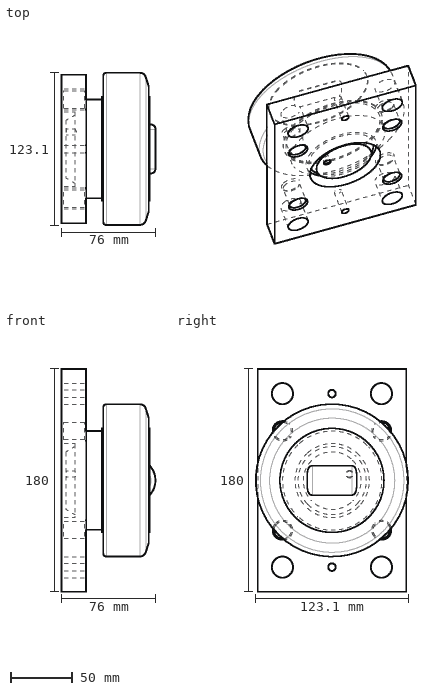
import cadquery as cq
import math


plate_height = 180.0
plate_width = 120.0
plate_thickness = 20.0

hole_offset_y = 40.0
outer_hole_offset_z = 70.0
clearance_diameter = 17.0
dowel_diameter = 6.0
tapped_offset_z = hole_offset_y
tapped_diameter = 13.9
tapped_mouth_diameter = 16.0
tapped_mouth_depth = 1.6

recess_diameter = 60.0
recess_depth = 10.6
pin_diameter = 55.0
pin_end_diameter = 46.6
pin_setback = 3.5

grease_mouth_diameter = 6.0
grease_diameter = 4.9
grease_depth = 7.2
grease_offset_y = 14.0
grease_offset_z = 5.2
grease_tip_angle = 118.0

neck_diameter = 80.1
ring_diameter = 84.0
ring_back = 32.5
ring_front = 71.3
wheel_diameter = 123.1
wheel_back = 33.7
wheel_front = 70.5
back_round = 2.5
front_round = 5.2
front_round_start = 63.2
front_cone_angle = 72.0

side_roller_front = 76.0
side_roller_radius = 17.5
side_roller_length = 39.8
side_roller_round = 4.0


def x_cylinder(diameter, start, end, y=0.0, z=0.0):
    """Cylinder along X between two X positions."""
    return (
        cq.Workplane("YZ", origin=(start, y, z))
        .circle(diameter / 2)
        .extrude(end - start)
    )


def make_cone(start_diameter, end_diameter, length, start, y=0.0, z=0.0):
    """Cone along +X from one diameter to another, starting at an X position."""
    return cq.Workplane(
        cq.Solid.makeCone(
            start_diameter / 2,
            end_diameter / 2,
            length,
            pnt=cq.Vector(start, y, z),
            dir=cq.Vector(1, 0, 0),
        )
    )


def make_plate():
    """Plate with clearance, dowel and tapped holes and the round welding recess."""
    plate = cq.Workplane("XY").box(
        plate_thickness, plate_width, plate_height, centered=(False, True, True)
    )
    for side_z in (-1, 1):
        outer_z = side_z * outer_hole_offset_z
        plate = plate.cut(x_cylinder(dowel_diameter, 0, plate_thickness, 0, outer_z))
        for side_y in (-1, 1):
            y = side_y * hole_offset_y
            plate = plate.cut(x_cylinder(clearance_diameter, 0, plate_thickness, y, outer_z))
            plate = plate.cut(make_tapped_hole(y, side_z * tapped_offset_z))
    return plate.cut(x_cylinder(recess_diameter, 0, recess_depth))


def make_tapped_hole(y, z):
    """Cutter for a through hole countersunk at both faces of the plate."""
    neck_side_start = plate_thickness - tapped_mouth_depth
    waist = x_cylinder(tapped_diameter, 0, plate_thickness, y, z)
    outer_mouth = make_cone(tapped_mouth_diameter, tapped_diameter, tapped_mouth_depth, 0, y, z)
    neck_side_mouth = make_cone(
        tapped_diameter, tapped_mouth_diameter, tapped_mouth_depth, neck_side_start, y, z
    )
    return waist.union(outer_mouth).union(neck_side_mouth)


def make_pin():
    """Tapered pin end standing on the floor of the welding recess."""
    return make_cone(pin_end_diameter, pin_diameter, recess_depth - pin_setback, pin_setback)


def make_grease_hole():
    """Cutter for a blind hole with a 45 degree countersink and a drill tip."""
    centre = (grease_offset_y, grease_offset_z)
    countersink_depth = (grease_mouth_diameter - grease_diameter) / 2
    tip_depth = grease_diameter / 2 / math.tan(math.radians(grease_tip_angle / 2))
    bottom = pin_setback + grease_depth
    bore = x_cylinder(grease_diameter, pin_setback, bottom, *centre)
    mouth = make_cone(
        grease_mouth_diameter, grease_diameter, countersink_depth, pin_setback, *centre
    )
    tip = make_cone(grease_diameter, 0, tip_depth, bottom, *centre)
    return bore.union(mouth).union(tip)


def make_wheel():
    """Main roller: rounded at the back, rounded into a steep cone at the front."""
    radius = wheel_diameter / 2
    slope = math.radians(front_cone_angle)

    def front_round_point(angle):
        return (
            front_round_start + front_round * math.sin(angle),
            radius - front_round * (1 - math.cos(angle)),
        )

    cone_start = front_round_point(slope)
    cone_end_radius = cone_start[1] - (wheel_front - cone_start[0]) * math.tan(slope)
    return (
        cq.Workplane("XY")
        .moveTo(wheel_back, 0)
        .lineTo(wheel_back, radius - back_round)
        .radiusArc((wheel_back + back_round, radius), back_round)
        .lineTo(front_round_start, radius)
        .threePointArc(front_round_point(slope / 2), cone_start)
        .lineTo(wheel_front, cone_end_radius)
        .lineTo(wheel_front, 0)
        .close()
        .revolve(360, (0, 0, 0), (1, 0, 0))
    )


def make_side_roller():
    """Roller with rounded ends, sunk into the bearing so that only its crown stands out."""
    centre_x = side_roller_front - side_roller_radius
    return (
        cq.Workplane("XZ", origin=(centre_x, side_roller_length / 2, 0))
        .circle(side_roller_radius)
        .extrude(side_roller_length)
        .faces("<Y or >Y")
        .edges()
        .fillet(side_roller_round)
    )


neck = x_cylinder(neck_diameter, plate_thickness, ring_back)
inner_ring = x_cylinder(ring_diameter, ring_back, ring_front)

result = (
    make_plate()
    .union(make_pin())
    .union(neck)
    .union(inner_ring)
    .union(make_wheel())
    .union(make_side_roller())
    .cut(make_grease_hole())
)